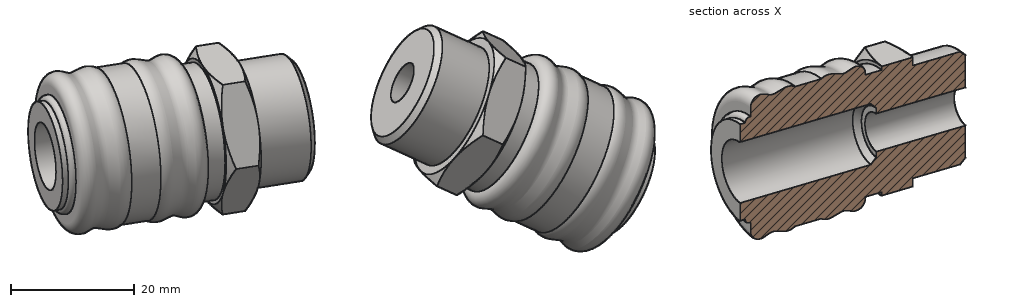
import cadquery as cq
import math


nose_radius = 9.0
nose_length = 1.0
collar_radius = 9.85
collar_fillet = collar_radius - nose_radius

sleeve_start = 2.0
sleeve_end = 24.0
sleeve_middle = (sleeve_start + sleeve_end) / 2
crest_radius = 13.4
band_radius = 13.0
band_half_length = 2.5
groove_radius = 12.75
end_round = 1.9
inner_crest_round = 2.6
inner_crest_offset = 3.85
groove_offset = 6.65
outer_slope = math.radians(18.5)
inner_slope = math.radians(15)
groove_outer_blend = 0.7
groove_inner_blend = 0.4

neck_radius = 11.35
hex_start = 27.0
hex_end = 33.0
hex_across_flats = 24.0
hex_corner_radius = hex_across_flats / math.sqrt(3)
hex_chamfer_angle = math.radians(30)
total_length = 43.0
shank_radius = 10.5
shank_chamfer = 1.0

socket_radius = 5.6
socket_depth = 24.95
seat_radius = 4.55
passage_radius = 3.5


def cylinder(start, end, radius):
    """Round bar along +Y between two Y positions."""
    base = cq.Workplane("XZ", origin=(0, start, 0))
    return base.circle(radius).extrude(start - end)


def revolve_y(profile):
    """Turn a closed (radius, Y) profile about the Y axis."""
    return profile.revolve(360, (0, 0, 0), (0, 1, 0))


def crest_point(crest_y, round_radius, angle):
    """Point on a crest arc, at an angle from its top measured toward +Y."""
    radius = crest_radius - round_radius * (1 - math.cos(angle))
    return radius, crest_y + round_radius * math.sin(angle)


def make_front_half_sleeve():
    outer_crest_y = sleeve_start + end_round
    inner_crest_y = sleeve_middle - inner_crest_offset
    groove_y = sleeve_middle - groove_offset
    band_y = sleeve_middle - band_half_length
    outer_rise = groove_outer_blend * math.tan(outer_slope / 2)
    inner_rise = groove_inner_blend * math.tan(inner_slope / 2)
    profile = (
        cq.Workplane("XY")
        .moveTo(0, sleeve_start)
        .lineTo(crest_radius - end_round, sleeve_start)
        .threePointArc(
            crest_point(outer_crest_y, end_round, -math.pi / 4),
            crest_point(outer_crest_y, end_round, outer_slope),
        )
        .lineTo(groove_radius + outer_rise, groove_y - groove_outer_blend)
        .threePointArc(
            (groove_radius, groove_y),
            (groove_radius + inner_rise, groove_y + groove_inner_blend),
        )
        .lineTo(*crest_point(inner_crest_y, inner_crest_round, -inner_slope))
        .threePointArc((crest_radius, inner_crest_y), (band_radius, band_y))
        .lineTo(band_radius, sleeve_middle)
        .lineTo(0, sleeve_middle)
        .close()
    )
    return revolve_y(profile)


def make_sleeve():
    front_half = make_front_half_sleeve()
    rear_half = front_half.mirror("XZ", (0, sleeve_middle, 0))
    return front_half.union(rear_half)


def make_nose():
    collar = cylinder(nose_length, sleeve_start, collar_radius)
    collar = collar.faces("<Y").edges().fillet(collar_fillet)
    return collar.union(cylinder(0, sleeve_start, nose_radius))


def make_hexagon():
    """Hexagon with corners on X, both ends chamfered down to the flats."""
    flats_radius = hex_across_flats / 2
    chamfer_length = (hex_corner_radius - flats_radius) * math.tan(hex_chamfer_angle)
    prism = (
        cq.Workplane("XZ", origin=(0, hex_start, 0))
        .polygon(6, 2 * hex_corner_radius)
        .extrude(hex_start - hex_end)
    )
    chamfer_envelope = revolve_y(
        cq.Workplane("XY").polyline([
            (0, hex_start),
            (flats_radius, hex_start),
            (hex_corner_radius, hex_start + chamfer_length),
            (hex_corner_radius, hex_end - chamfer_length),
            (flats_radius, hex_end),
            (0, hex_end),
        ]).close()
    )
    return prism.intersect(chamfer_envelope)


def make_shank():
    shank = cylinder(hex_end, total_length, shank_radius)
    return shank.faces(">Y").edges().chamfer(shank_chamfer)


def make_bore():
    """Socket with a 45 degree seat at its bottom, then a narrower through passage."""
    seat_end = socket_depth + socket_radius - seat_radius
    return revolve_y(
        cq.Workplane("XY").polyline([
            (0, 0),
            (socket_radius, 0),
            (socket_radius, socket_depth),
            (seat_radius, seat_end),
            (passage_radius, seat_end),
            (passage_radius, total_length),
            (0, total_length),
        ]).close()
    )


result = (
    make_sleeve()
    .union(make_nose())
    .union(cylinder(sleeve_end, hex_start, neck_radius))
    .union(make_hexagon())
    .union(make_shank())
    .cut(make_bore())
)